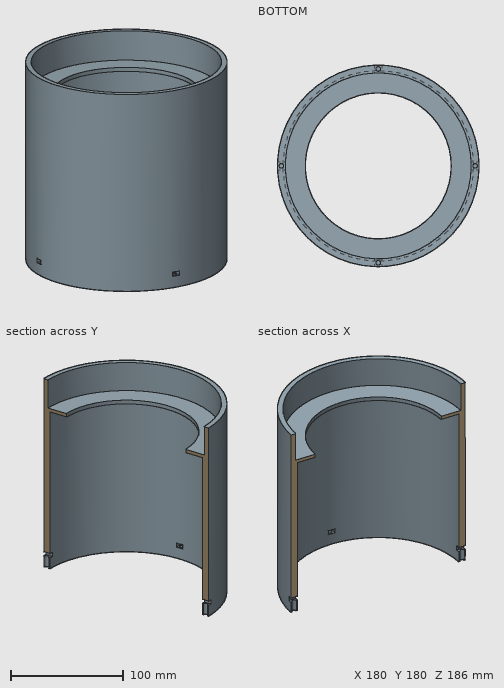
import cadquery as cq

height = 186.0
outer_diameter = 180.0

recess_diameter = 170.0
recess_depth = 27.7
ring_bore_diameter = 130.0
ring_thickness = 3.7
cavity_diameter = 166.0
cavity_height = height - recess_depth - ring_thickness

window_width = 6.9
window_height = 3.9
window_center_height = 12.8

wall_hole_diameter = 4.0
wall_middle_radius = (outer_diameter + cavity_diameter) / 4


def cylinder(diameter, length, bottom):
    """Vertical cylinder on the part axis, starting at the given height."""
    return cq.Workplane("XY").workplane(offset=bottom).circle(diameter / 2).extrude(length)


def window_cutter(angle):
    """Horizontal bar crossing the whole tube, turned about the part axis."""
    bar = cq.Workplane("XY").box(window_width, 1.1 * outer_diameter, window_height)
    return bar.translate((0, 0, window_center_height)).rotate((0, 0, 0), (0, 0, 1), angle)


body = cylinder(outer_diameter, height, 0)
body = body.cut(cylinder(recess_diameter, recess_depth, height - recess_depth))
body = body.cut(cylinder(ring_bore_diameter, height, 0))
body = body.cut(cylinder(cavity_diameter, cavity_height, 0))

for angle in (0, 90):
    body = body.cut(window_cutter(angle))

wall_holes = (
    cq.Workplane("XY")
    .polarArray(wall_middle_radius, 0, 360, 4)
    .circle(wall_hole_diameter / 2)
    .extrude(window_center_height)
)
body = body.cut(wall_holes)

result = body